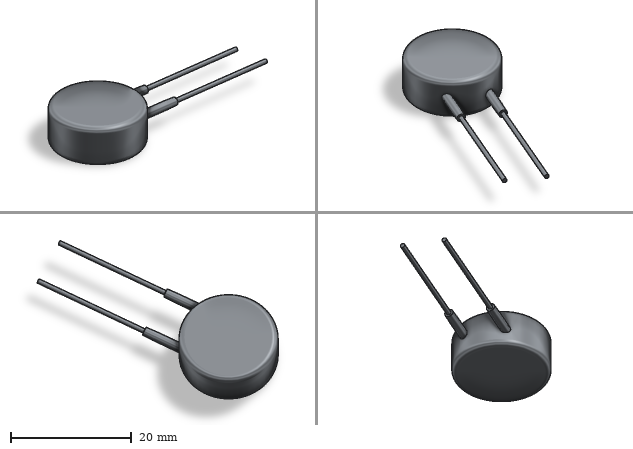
import cadquery as cq

total_length = 42.0
body_diameter = 16.5
body_height = 7.3
edge_radius = 1.0

lead_pitch = 7.48
lead_height_offset = 0.5
wire_diameter = 0.8
wire_length = 20.0
sleeve_diameter = 1.6
sleeve_tip_diameter = 1.45
sleeve_taper_length = 2.15

body_radius = body_diameter / 2
wire_end = total_length - body_radius
sleeve_tip = wire_end - wire_length
taper_start = sleeve_tip - sleeve_taper_length
sleeve_root = body_radius / 2


def make_body():
    """Disc centred on the origin, rounded around both rims."""
    disc = cq.Workplane("XY").cylinder(body_height, body_radius)
    return disc.edges("%CIRCLE").fillet(edge_radius)


def make_lead(x, z):
    """Sleeve with a tapered tip and a thinner wire, revolved about a line along +Y."""
    sleeve_radius = sleeve_diameter / 2
    wire_radius = wire_diameter / 2
    profile = (
        cq.Workplane("XY")
        .moveTo(0, sleeve_root)
        .lineTo(sleeve_radius, sleeve_root)
        .lineTo(sleeve_radius, taper_start)
        .lineTo(sleeve_tip_diameter / 2, sleeve_tip)
        .lineTo(wire_radius, sleeve_tip)
        .lineTo(wire_radius, wire_end)
        .lineTo(0, wire_end)
        .close()
    )
    return profile.revolve(360, (0, 0, 0), (0, 1, 0)).translate((x, 0, z))


result = make_body()
for side in (-1, 1):
    lead = make_lead(side * lead_pitch / 2, side * lead_height_offset)
    result = result.union(lead)